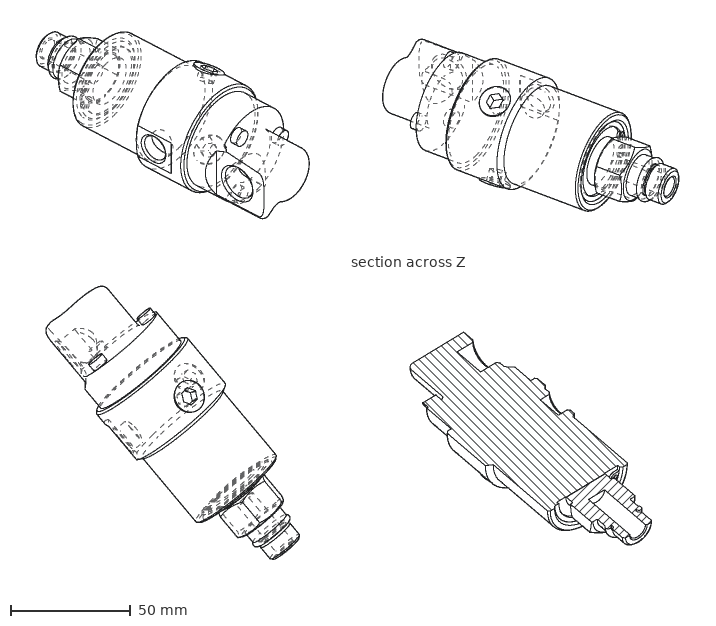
import cadquery as cq
import math

overall_length = 135.2

thread_radius = 16.0 / 2
neck_radius = 13.5 / 2
spigot_radius = 18.1 / 2
collar_radius = 21.4 / 2
thread_lead_chamfer = 1.0
thread_end = 8.4
o_ring_section_radius = 1.4
o_ring_center_x = thread_end + o_ring_section_radius
o_ring_center_radius = 8.4
hex_start = 16.0
hex_end = 30.1
hex_across_flats = 23.9
hex_face_radius = 11.4
hex_bevel_angle = 30.0
rotor_bore_radius = 8.5 / 2
rotor_bore_chamfer = 0.5
rotor_bore_depth = 27.0

barrel_start = 32.2
barrel_radius = 43.7 / 2
barrel_chamfer = 0.8
band_start = 68.1
band_end = 95.6
band_radius = 49.5 / 2
band_bevel_angle = 30.0
band_end_chamfer = 1.0
end_face_x = 111.4

recess_radius = 35.3 / 2
recess_mouth_radius = 37.3 / 2
ring_depth = 1.1
ring_thickness = 1.1
ring_inner_radius = 15.4
ring_ear_radius = 2.37
ring_ear_y = -15.4
ring_ear_z = 4.6
ring_hole_diameter = 2.0
recess_floor_x = barrel_start + ring_depth + ring_thickness

hub_radius = 12.5
wing_apex_y = 5.5
wing_slope_angle = 33.0
wing_root_fillet = 5.0
wing_tip_fillet = 2.0
head_end_fillet = 3.1
head_base_fillet = 1.1
head_flat_y = -18.59

small_port_x = 78.5
small_port_diameter = 11.5
small_port_mouth_diameter = 13.5
small_port_floor_radius = 35.3 / 2
small_flat_y = -23.4
small_flat_end = 88.3
large_port_x = 120.5
large_port_diameter = 15.0
large_port_mouth_diameter = 17.3
large_port_floor_radius = 9.0
large_flat_start = 109.0

plug_diameter = 13.5
plug_top = 24.8
plug_seat = 22.3
plug_angles = (30.0, 150.0)
plug_socket_across_flats = 6.4
plug_socket_depth = 5.4
screw_circle_radius = 17.5
screw_head_diameter = 7.2
screw_head_height = 3.4
screw_count = 3


def along_x(start, end, radius):
    """Cylinder on the X axis."""
    return cq.Workplane("YZ", origin=(start, 0, 0)).circle(radius).extrude(end - start)


def turned(outline):
    """Solid turned about the X axis from an (x, radius) outline."""
    return outline.close().revolve(360, (0, 0, 0), (1, 0, 0))


def hexagon(across_flats):
    """Circumscribed diameter of a hexagon, which is the size polygon() takes."""
    return across_flats / math.cos(math.radians(30))



def make_nose():
    """Threaded nose, relief groove and spigot, up to the hexagon."""
    return turned(
        cq.Workplane("XY")
        .moveTo(0, 0)
        .lineTo(0, thread_radius - thread_lead_chamfer)
        .lineTo(thread_lead_chamfer, thread_radius)
        .lineTo(thread_end - (thread_radius - neck_radius), thread_radius)
        .lineTo(thread_end, neck_radius)
        .lineTo(o_ring_center_x, neck_radius)
        .lineTo(o_ring_center_x, spigot_radius)
        .lineTo(hex_start, spigot_radius)
        .lineTo(hex_start, 0)
    )


def make_o_ring():
    """Bead at the start of the spigot."""
    return (
        cq.Workplane("XY")
        .center(o_ring_center_x, o_ring_center_radius)
        .circle(o_ring_section_radius)
        .revolve(360, (0, -o_ring_center_radius, 0), (1, -o_ring_center_radius, 0))
    )


def make_hexagon():
    """Hexagon with corners up and down and both ends bevelled."""
    corner_diameter = hexagon(hex_across_flats)
    corner_radius = corner_diameter / 2
    bevel = (corner_radius - hex_face_radius) * math.tan(math.radians(hex_bevel_angle))
    prism = (
        cq.Workplane("YZ", origin=(hex_start, 0, 0))
        .transformed(rotate=(0, 0, 90))
        .polygon(6, corner_diameter)
        .extrude(hex_end - hex_start)
    )
    bevelled_blank = turned(
        cq.Workplane("XY")
        .moveTo(hex_start, 0)
        .lineTo(hex_start, hex_face_radius)
        .lineTo(hex_start + bevel, corner_radius)
        .lineTo(hex_end - bevel, corner_radius)
        .lineTo(hex_end, hex_face_radius)
        .lineTo(hex_end, 0)
    )
    return prism.intersect(bevelled_blank)


def make_rotor():
    """Nose, bead, hexagon and collar in one piece, bored from the nose."""
    collar = along_x(hex_end, recess_floor_x, collar_radius)
    bore = turned(
        cq.Workplane("XY")
        .moveTo(0, 0)
        .lineTo(0, rotor_bore_radius + rotor_bore_chamfer)
        .lineTo(rotor_bore_chamfer, rotor_bore_radius)
        .lineTo(rotor_bore_depth, rotor_bore_radius)
        .lineTo(rotor_bore_depth, 0)
    )
    return make_nose().union(make_o_ring()).union(make_hexagon()).union(collar).cut(bore)



def make_turned_housing():
    """Barrel, wider band and tail, with the recess open toward the rotor."""
    mouth_chamfer = recess_mouth_radius - recess_radius
    band_bevel = (band_radius - barrel_radius) * math.tan(math.radians(band_bevel_angle))
    return turned(
        cq.Workplane("XY")
        .moveTo(recess_floor_x, 0)
        .lineTo(recess_floor_x, recess_radius)
        .lineTo(barrel_start + mouth_chamfer, recess_radius)
        .lineTo(barrel_start, recess_mouth_radius)
        .lineTo(barrel_start, barrel_radius - barrel_chamfer)
        .lineTo(barrel_start + barrel_chamfer, barrel_radius)
        .lineTo(band_start, barrel_radius)
        .lineTo(band_start + band_bevel, band_radius)
        .lineTo(band_end - band_end_chamfer, band_radius)
        .lineTo(band_end, band_radius - band_end_chamfer)
        .lineTo(band_end, barrel_radius)
        .lineTo(end_face_x, barrel_radius)
        .lineTo(end_face_x, 0)
    )


def make_retaining_ring():
    """Open ring on the recess floor, with a drilled ear on each side of its gap."""
    ring_plane = cq.Workplane("YZ", origin=(recess_floor_x - ring_thickness, 0, 0))
    ring = ring_plane.circle(recess_radius).circle(ring_inner_radius).extrude(ring_thickness)
    gap = (
        ring_plane.center(-recess_radius, 0)
        .rect(recess_radius, 2 * ring_ear_z)
        .extrude(ring_thickness)
    )
    ring = ring.cut(gap)
    ear_centers = [(ring_ear_y, -ring_ear_z), (ring_ear_y, ring_ear_z)]
    ears = ring_plane.pushPoints(ear_centers).circle(ring_ear_radius).extrude(ring_thickness)
    webs = (
        ring_plane.pushPoints([(ring_ear_y - ring_ear_radius, z) for _, z in ear_centers])
        .rect(2 * ring_ear_radius, 2 * ring_ear_radius)
        .extrude(ring_thickness)
        .intersect(along_x(barrel_start, recess_floor_x, recess_radius))
    )
    holes = ring_plane.pushPoints(ear_centers).circle(ring_hole_diameter / 2).extrude(ring_thickness)
    return ring.union(ears).union(webs).cut(holes)


def wing_corner(radius):
    """Y and Z of the point where the upper wing slope crosses a circle about the X axis."""
    slope = math.radians(wing_slope_angle)
    distance = wing_apex_y * math.sin(slope)
    along = math.sqrt(radius**2 - distance**2)
    y = distance * math.sin(slope) - along * math.cos(slope)
    z = distance * math.cos(slope) + along * math.sin(slope)
    return y, z


def round_wing_corners(head, radius, fillet):
    """Round the lengthwise edges, above and below, where the wing slopes meet a circle."""
    middle_x = (end_face_x + overall_length) / 2
    y, z = wing_corner(radius)
    for side in (1, -1):
        corner = cq.selectors.NearestToPointSelector((middle_x, y, side * z))
        head = head.edges("|X").edges(corner).fillet(fillet)
    return head


def make_head():
    """Round hub with a wedge spreading toward -Y, flush with the barrel, and a rounded end."""
    hub = along_x(end_face_x, overall_length, hub_radius)
    wedge_half_height = (wing_apex_y + barrel_radius) * math.tan(math.radians(wing_slope_angle))
    wedge = (
        cq.Workplane("YZ", origin=(end_face_x, 0, 0))
        .moveTo(wing_apex_y, 0)
        .lineTo(-barrel_radius, wedge_half_height)
        .lineTo(-barrel_radius, -wedge_half_height)
        .close()
        .extrude(overall_length - end_face_x)
        .intersect(along_x(end_face_x, overall_length, barrel_radius))
    )
    head = round_wing_corners(hub.union(wedge), hub_radius, wing_root_fillet)
    head = round_wing_corners(head, barrel_radius, wing_tip_fillet)
    return head.faces(">X").edges().fillet(head_end_fillet)


def add_head(body):
    """Join the head to the end face with a fillet around its foot."""
    body = body.union(make_head())
    hub_foot = cq.selectors.NearestToPointSelector((end_face_x, hub_radius, 0))
    return body.edges(hub_foot).fillet(head_base_fillet)


def make_flat_cutter(near_x, far_x, flat_y, reach):
    """Prism that mills a flat on the -Y side, its far_x end running out at 45 degrees."""
    outer_y = -2 * band_radius
    run_out = flat_y - outer_y
    direction = math.copysign(1, far_x - near_x)
    return (
        cq.Workplane("XY", origin=(0, 0, -reach))
        .moveTo(near_x, flat_y)
        .lineTo(far_x, flat_y)
        .lineTo(far_x + direction * run_out, outer_y)
        .lineTo(near_x, outer_y)
        .close()
        .extrude(2 * reach)
    )


def make_port_cutter(port_x, diameter, mouth_diameter, flat_y, floor_radius):
    """Countersunk hole from a flat inward to a round floor about the X axis."""
    countersink = (mouth_diameter - diameter) / 2
    hole = (
        cq.Workplane("XY", origin=(port_x, 0, 0))
        .moveTo(0, 0)
        .lineTo(diameter / 2, 0)
        .lineTo(diameter / 2, flat_y + countersink)
        .lineTo(mouth_diameter / 2, flat_y)
        .lineTo(0, flat_y)
        .close()
        .revolve(360, (0, 0, 0), (0, 1, 0))
    )
    return hole.cut(along_x(band_start, overall_length, floor_radius))


def plug_plane(angle, distance):
    """Plane whose normal points away from the X axis; angle is measured from +Z to +Y."""
    tilt = math.radians(angle)
    normal = (0, math.sin(tilt), math.cos(tilt))
    origin = (small_port_x, distance * normal[1], distance * normal[2])
    return cq.Workplane(cq.Plane(origin=origin, xDir=(1, 0, 0), normal=normal))


def add_plugs(body):
    """Flat-topped plugs, each with a hexagon socket."""
    for angle in plug_angles:
        plug = plug_plane(angle, plug_seat).circle(plug_diameter / 2).extrude(plug_top - plug_seat)
        socket = (
            plug_plane(angle, plug_top)
            .transformed(rotate=(0, 0, 90))
            .polygon(6, hexagon(plug_socket_across_flats))
            .extrude(-plug_socket_depth)
        )
        body = body.union(plug).cut(socket)
    return body


def make_screw_heads():
    """Cap screw heads standing on the end face, the first one on the +Y side."""
    return (
        cq.Workplane("YZ", origin=(end_face_x, 0, 0))
        .polarArray(screw_circle_radius, 0, 360, screw_count)
        .circle(screw_head_diameter / 2)
        .extrude(screw_head_height)
    )


def make_housing():
    """Turned body with its ring, head, screws, flats, ports and plugs."""
    body = add_head(make_turned_housing().union(make_retaining_ring()))
    body = body.union(make_screw_heads())
    body = body.cut(make_flat_cutter(band_start, small_flat_end, small_flat_y, band_radius))
    body = body.cut(make_flat_cutter(overall_length, large_flat_start, head_flat_y, band_radius))
    body = body.cut(make_port_cutter(
        small_port_x, small_port_diameter, small_port_mouth_diameter,
        small_flat_y, small_port_floor_radius,
    ))
    body = body.cut(make_port_cutter(
        large_port_x, large_port_diameter, large_port_mouth_diameter,
        head_flat_y, large_port_floor_radius,
    ))
    return add_plugs(body)


rotor = make_rotor()
housing = make_housing()
result = cq.Compound.makeCompound([rotor.val(), housing.val()])